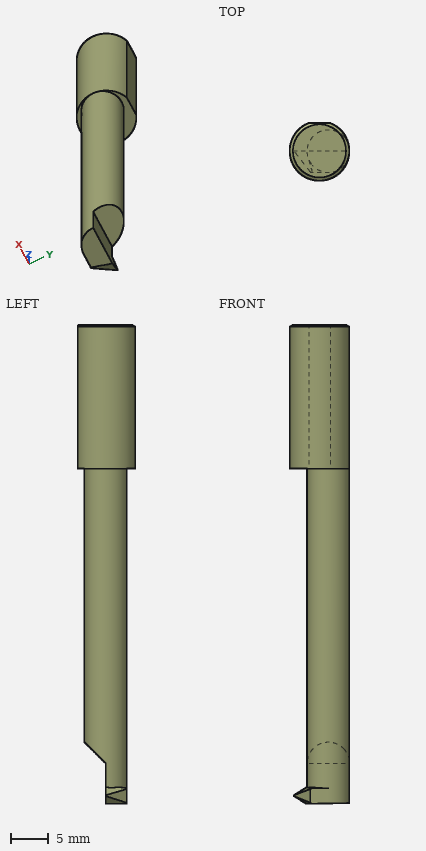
import cadquery as cq
import math

total_length = 63.5
shank_diameter = 7.94
shank_length = 19.05
shank_flat_y = 3.71
shank_chamfer_radial = 0.45
shank_chamfer_height = 0.26

neck_diameter = 5.65

relief_height = 5.4
relief_slope_angle = 45.0

tip_x = -3.39
tip_z = 1.1
tip_flat = 0.1
flank_angle = 32.5
tip_top_z = 2.45
heel_nose_x = -1.2
heel_flank_low_z = 0.15
heel_flank_high_z = 1.98
heel_top_z = 2.1

end_clearance_angle = 1.0

shank_radius = shank_diameter / 2
neck_radius = neck_diameter / 2
neck_x = shank_radius - neck_radius
shank_bottom_z = total_length - shank_length


def make_shank():
    """Round shank with a chamfered top edge and a flat along its +Y side."""
    shank = (
        cq.Workplane("XY", origin=(0, 0, shank_bottom_z))
        .circle(shank_radius)
        .extrude(shank_length)
        .faces(">Z")
        .chamfer(shank_chamfer_height, shank_chamfer_radial)
    )
    flat_cutter = (
        cq.Workplane("XY", origin=(0, shank_flat_y, shank_bottom_z))
        .rect(shank_diameter, shank_diameter)
        .extrude(shank_length)
        .translate((0, shank_radius, 0))
    )
    return shank.cut(flat_cutter)


def make_neck():
    """Eccentric round neck, cut to a half round at its lower end with a sloped run-out."""
    neck = cq.Workplane("XY").center(neck_x, 0).circle(neck_radius).extrude(shank_bottom_z)
    slope_rise = neck_diameter * math.tan(math.radians(relief_slope_angle))
    relief = (
        cq.Workplane("YZ")
        .polyline([
            (0, 0),
            (neck_diameter, 0),
            (neck_diameter, relief_height + slope_rise),
            (0, relief_height),
        ])
        .close()
        .extrude(shank_diameter, both=True)
    )
    return neck.cut(relief)


def tip_section(nose_x, flank_low_z, flank_high_z, top_z):
    """Corner points (x, z) of the tip: a nose edge, two flanks, and the body up to the neck axis."""
    flank_run = 1 / math.tan(math.radians(flank_angle))
    return [
        (nose_x, flank_low_z),
        (nose_x + flank_low_z * flank_run, 0),
        (neck_x, 0),
        (neck_x, top_z),
        (nose_x + (top_z - flank_high_z) * flank_run, top_z),
        (nose_x, flank_high_z),
    ]


def make_tip():
    """Cutting tip lofted from the rake face at y = 0 to the smaller heel face at the neck's -Y side."""
    rake_section = tip_section(tip_x, tip_z - tip_flat / 2, tip_z + tip_flat / 2, tip_top_z)
    heel_section = tip_section(heel_nose_x, heel_flank_low_z, heel_flank_high_z, heel_top_z)
    return (
        cq.Workplane("XZ")
        .polyline(rake_section)
        .close()
        .workplane(offset=neck_radius)
        .polyline(heel_section)
        .close()
        .loft(ruled=True, combine=True)
    )


def make_end_clearance():
    """Wedge below the bottom face, starting at the neck's -X side."""
    start_x = neck_x - neck_radius
    end_rise = neck_diameter * math.tan(math.radians(end_clearance_angle))
    return (
        cq.Workplane("XZ")
        .polyline([(start_x, 0), (shank_radius, 0), (shank_radius, end_rise)])
        .close()
        .extrude(shank_diameter, both=True)
    )


result = make_shank().union(make_neck()).union(make_tip()).cut(make_end_clearance())